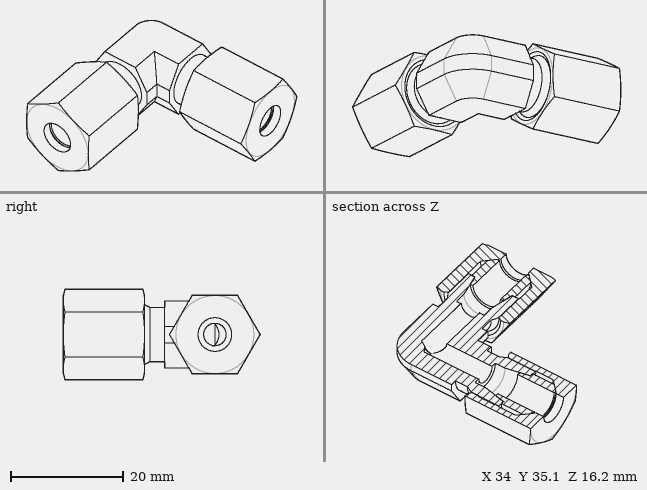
import cadquery as cq
import math


overall_length = 35.08
hexagon_sides = 6
nut_across_flats = 14.0
nut_corner_radius = nut_across_flats / 2 / math.cos(math.pi / hexagon_sides)
nut_length = 14.5
nut_outer_end = overall_length - nut_corner_radius
nut_inner_end = nut_outer_end - nut_length

nut_face_radius = 6.95
nut_chamfer_angle = 15.0
nut_mouth_radius = 6.25
nut_mouth_depth = 0.4
nut_collar_length = 1.6

body_half_width = 6.07
body_half_height = 6.0
body_side_half_height = 1.47
body_chamfer_angle = 60.0
body_end = 8.95
body_flat_half_width = body_half_width - (
    (body_half_height - body_side_half_height) / math.tan(math.radians(body_chamfer_angle))
)

neck_diameter = 9.7
neck_radius = neck_diameter / 2
neck_end = 11.58
thread_radius = 5.6
thread_runout_length = 1.35
stub_end = 19.0
tube_diameter = 6.0
tube_radius = tube_diameter / 2
tube_stop = 12.0
flow_radius = 2.0
drill_point_angle = 118.0
drill_tip_length = flow_radius / math.tan(math.radians(drill_point_angle / 2))
seat_mouth_radius = 4.05
seat_half_angle = 12.0
seat_slope = math.tan(math.radians(seat_half_angle))
seat_depth = (seat_mouth_radius - tube_radius) / seat_slope

ring_radius = 4.8
ring_nose_length = 2.1
ring_clearance = 0.45

arms = [(0, 0), (-90, 90)]


def revolve_about_x(points):
    """Turn a closed (axial, radial) outline about the X axis."""
    return cq.Workplane("XY").polyline(points).close().revolve(360, (0, 0, 0), (1, 0, 0))


def rotate_to_arm(shape, arm_angle):
    return shape.rotate((0, 0, 0), (0, 0, 1), arm_angle)


def make_body_arm():
    """Prism of the chamfered section, from the elbow centre to the arm end."""
    section = [
        (body_half_width, body_side_half_height),
        (body_flat_half_width, body_half_height),
        (-body_flat_half_width, body_half_height),
        (-body_half_width, body_side_half_height),
        (-body_half_width, -body_side_half_height),
        (-body_flat_half_width, -body_half_height),
        (body_flat_half_width, -body_half_height),
        (body_half_width, -body_side_half_height),
    ]
    return cq.Workplane("YZ").polyline(section).close().extrude(body_end)


def make_outer_corner():
    """Quarter turn of the half section about Z, rounding the outside of the bend."""
    half_section = [
        (0, -body_half_height),
        (-body_flat_half_width, -body_half_height),
        (-body_half_width, -body_side_half_height),
        (-body_half_width, body_side_half_height),
        (-body_flat_half_width, body_half_height),
        (0, body_half_height),
    ]
    return cq.Workplane("XZ").polyline(half_section).close().revolve(90, (0, 0, 0), (0, -1, 0))


def make_stub():
    """Neck and threaded end of one arm."""
    return revolve_about_x([
        (0, 0),
        (0, neck_radius),
        (neck_end, neck_radius),
        (neck_end + thread_runout_length, thread_radius),
        (stub_end, thread_radius),
        (stub_end, 0),
    ])


def make_stub_bore():
    """Drilled flow passage, tube socket and conical seat of one arm."""
    return revolve_about_x([
        (-drill_tip_length, 0),
        (0, flow_radius),
        (tube_stop, flow_radius),
        (tube_stop, tube_radius),
        (stub_end - seat_depth, tube_radius),
        (stub_end, seat_mouth_radius),
        (stub_end, 0),
    ])


def make_elbow():
    elbow = make_outer_corner()
    for arm_angle, _ in arms:
        elbow = elbow.union(rotate_to_arm(make_body_arm(), arm_angle))
        elbow = elbow.union(rotate_to_arm(make_stub(), arm_angle))
    for arm_angle, _ in arms:
        elbow = elbow.cut(rotate_to_arm(make_stub_bore(), arm_angle))
    return elbow


def make_nut():
    """Hexagon nut on the X axis, with two corners on the XY plane."""
    hexagon = (
        cq.Workplane("YZ", origin=(nut_inner_end, 0, 0))
        .polygon(hexagon_sides, 2 * nut_corner_radius)
        .extrude(nut_length)
    )
    chamfer_depth = (nut_corner_radius - nut_face_radius) * math.tan(math.radians(nut_chamfer_angle))
    chamfer_envelope = revolve_about_x([
        (nut_inner_end, 0),
        (nut_inner_end, nut_face_radius),
        (nut_inner_end + chamfer_depth, nut_corner_radius),
        (nut_outer_end - chamfer_depth, nut_corner_radius),
        (nut_outer_end, nut_face_radius),
        (nut_outer_end, 0),
    ])
    collar_start = nut_outer_end - nut_collar_length
    bore = revolve_about_x([
        (nut_inner_end, 0),
        (nut_inner_end, nut_mouth_radius),
        (nut_inner_end + nut_mouth_depth, thread_radius),
        (collar_start - (thread_radius - tube_radius), thread_radius),
        (collar_start, tube_radius),
        (nut_outer_end, tube_radius),
        (nut_outer_end, 0),
    ])
    return hexagon.intersect(chamfer_envelope).cut(bore)


def make_cutting_ring():
    """Ring between the conical seat of the elbow and the 45 degree cone of the nut."""
    nose = stub_end - ring_nose_length
    back = nut_outer_end - nut_collar_length - ring_clearance
    back_radius = tube_radius + ring_clearance
    return revolve_about_x([
        (nose, tube_radius),
        (nose, seat_mouth_radius - ring_nose_length * seat_slope),
        (stub_end, seat_mouth_radius),
        (stub_end, ring_radius),
        (back - (ring_radius - back_radius), ring_radius),
        (back, back_radius),
        (back, tube_radius),
    ])


elbow = make_elbow()
nuts = []
cutting_rings = []
for arm_angle, nut_turn in arms:
    turned_nut = make_nut().rotate((0, 0, 0), (1, 0, 0), nut_turn)
    nuts.append(rotate_to_arm(turned_nut, arm_angle).val())
    cutting_rings.append(rotate_to_arm(make_cutting_ring(), arm_angle).val())

result = cq.Compound.makeCompound([elbow.val(), *nuts, *cutting_rings])